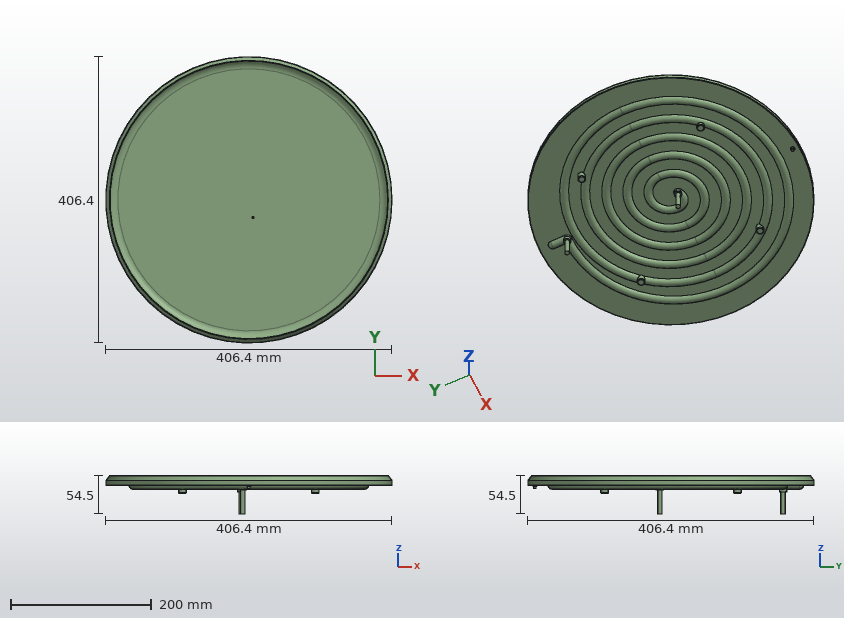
import cadquery as cq
import math

plate_diameter = 406.4
plate_thickness = 14.3
total_height = 54.49
rim_chamfer_width = 5.2
rim_chamfer_height = 6.8
rim_land_width = 1.0
bottom_edge_chamfer = 0.8
floor_depth = 6.35
wall_fillet_radius = 12.7

feet_circle_radius = 133.35
foot_count = 4
foot_diameter = 11.1
foot_bottom_z = -25.4
foot_chamfer = 1.2

heater_diameter = 6.6
sleeve_diameter = 13.0
sleeve_bottom_z = -19.4
spiral_center_y = -4.5
spiral_turns = 5
outer_terminal = (-11.0, 159.0)
inner_terminal = (-8.7, -15.8)
terminal_boss_diameter = 10.6
outer_boss_bottom_z = -23.0
inner_boss_bottom_z = -20.6

spur_end_y = 188.5

sensor_hole_diameter = 2.71
sensor_hole_depth = 4.0
sensor_hole_position = (5.8, -25.0)
stub_position = (0, -193.2)
stub_diameter = 3.8
stub_base_diameter = 6.6
stub_bottom_z = -18.5

plate_radius = plate_diameter / 2
rim_radius = plate_radius - rim_chamfer_width
rim_inner_radius = rim_radius - rim_land_width
wall_arc_angle = math.acos(1 - floor_depth / wall_fillet_radius)
floor_radius = rim_inner_radius - wall_fillet_radius * math.sin(wall_arc_angle)
wall_mid_point = (
    floor_radius + wall_fillet_radius * math.sin(wall_arc_angle / 2),
    -floor_depth + wall_fillet_radius * (1 - math.cos(wall_arc_angle / 2)),
)
heater_z = sleeve_bottom_z + sleeve_diameter / 2
foot_start_angle = 360 / foot_count / 2


def polar_about_spiral(point):
    """Radius and angle (radians) of a point about the spiral centre."""
    dy = point[1] - spiral_center_y
    return math.hypot(point[0], dy), math.atan2(dy, point[0])


outer_radius, outer_angle = polar_about_spiral(outer_terminal)
inner_radius, inner_angle = polar_about_spiral(inner_terminal)
spiral_pitch = (outer_radius - inner_radius) / spiral_turns


def spiral_point(center_x, radius, angle):
    return (center_x + radius * math.cos(angle), spiral_center_y + radius * math.sin(angle))


def spiral_tube(diameter):
    """Round bar along half circles that wind clockwise from the outer terminal to the inner one."""
    path = cq.Workplane("XY", origin=(0, 0, heater_z)).moveTo(*outer_terminal)
    path = path.threePointArc(
        spiral_point(0, outer_radius, 0),
        spiral_point(0, outer_radius, -math.pi),
    )
    for turn in range(1, spiral_turns + 1):
        radius = outer_radius - turn * spiral_pitch
        path = path.threePointArc(
            spiral_point(-spiral_pitch / 2, radius + spiral_pitch / 2, math.pi / 2),
            spiral_point(0, radius, 0),
        )
        end_angle = inner_angle if turn == spiral_turns else -math.pi
        path = path.threePointArc(
            spiral_point(0, radius, end_angle / 2),
            spiral_point(0, radius, end_angle),
        )
    tangent = (math.sin(outer_angle), -math.cos(outer_angle), 0)
    start = cq.Plane(origin=(*outer_terminal, heater_z), xDir=(0, 0, 1), normal=tangent)
    return cq.Workplane(start).circle(diameter / 2).sweep(path)


def upright(point, diameter, top_z, bottom_z):
    """Vertical round bar between two heights."""
    return (
        cq.Workplane("XY", origin=(*point, bottom_z))
        .circle(diameter / 2)
        .extrude(top_z - bottom_z)
    )


def ball(point, diameter):
    return cq.Workplane("XY", origin=(*point, heater_z)).sphere(diameter / 2)


def make_heater():
    heater = spiral_tube(heater_diameter)
    for terminal in (outer_terminal, inner_terminal):
        heater = heater.union(ball(terminal, heater_diameter))
        heater = heater.union(upright(terminal, heater_diameter, heater_z, -total_height))
    return heater


def make_dish():
    profile = (
        cq.Workplane("XZ")
        .moveTo(0, -floor_depth)
        .lineTo(floor_radius, -floor_depth)
        .threePointArc(wall_mid_point, (rim_inner_radius, 0))
        .lineTo(rim_radius, 0)
        .lineTo(plate_radius, -rim_chamfer_height)
        .lineTo(plate_radius, -plate_thickness + bottom_edge_chamfer)
        .lineTo(plate_radius - bottom_edge_chamfer, -plate_thickness)
        .lineTo(0, -plate_thickness)
        .close()
    )
    return profile.revolve(360, (0, 0), (0, 1))


def make_feet():
    return (
        cq.Workplane("XY", origin=(0, 0, foot_bottom_z))
        .polarArray(feet_circle_radius, foot_start_angle, 360, foot_count)
        .circle(foot_diameter / 2)
        .extrude(-plate_thickness - foot_bottom_z)
        .faces("<Z")
        .chamfer(foot_chamfer)
    )


def make_spur():
    """Round-ended bead that runs outward from the outer terminal."""
    end = (outer_terminal[0], spur_end_y - sleeve_diameter / 2)
    bar = (
        cq.Workplane("XZ", origin=(*outer_terminal, heater_z))
        .circle(sleeve_diameter / 2)
        .extrude(outer_terminal[1] - end[1])
    )
    return bar.union(ball(end, sleeve_diameter))


def make_stub():
    """Small peg near the plate edge on a flared base."""
    flare = (stub_base_diameter - stub_diameter) / 2
    profile = [
        (0, -plate_thickness),
        (stub_base_diameter / 2, -plate_thickness),
        (stub_diameter / 2, -plate_thickness - flare),
        (stub_diameter / 2, stub_bottom_z),
        (0, stub_bottom_z),
    ]
    stub = cq.Workplane("XZ").polyline(profile).close().revolve(360, (0, 0), (0, 1))
    return stub.translate((*stub_position, 0))


def make_plate(heater):
    plate = make_dish().union(spiral_tube(sleeve_diameter))
    plate = plate.union(make_spur()).union(make_feet()).union(make_stub())
    for terminal, bottom_z in (
        (outer_terminal, outer_boss_bottom_z),
        (inner_terminal, inner_boss_bottom_z),
    ):
        plate = plate.union(ball(terminal, sleeve_diameter))
        plate = plate.union(upright(terminal, terminal_boss_diameter, heater_z, bottom_z))
    sensor_hole_bottom_z = -floor_depth - sensor_hole_depth
    plate = plate.cut(upright(sensor_hole_position, sensor_hole_diameter, 0, sensor_hole_bottom_z))
    return plate.cut(heater)


heater = make_heater()
plate = make_plate(heater)
result = cq.Compound.makeCompound([plate.solids().val(), heater.solids().val()])